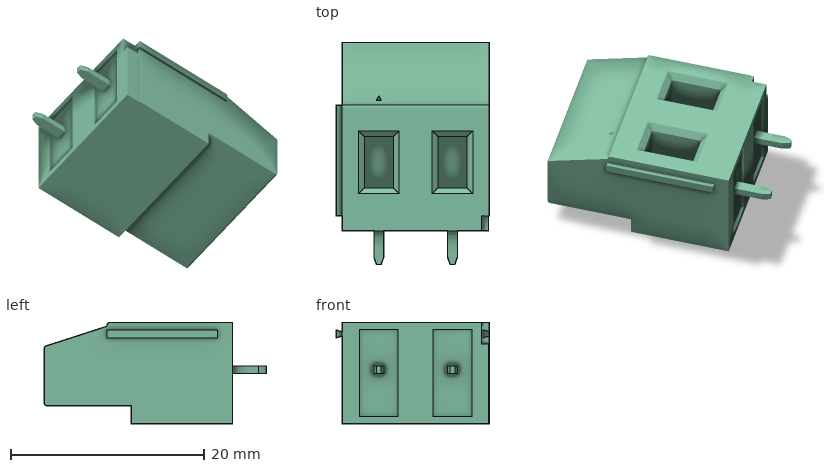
import cadquery as cq

pole_pitch = 7.62
pole_count = 2
body_width = pole_pitch * pole_count
body_length = 19.5
body_height = 10.5
pole_centers = [pole_pitch * (index + 0.5) for index in range(pole_count)]

flange_length = 1.55
flange_setback = 0.08
notch_width = 0.8
notch_height = 2.25

underside_step_y = 10.5
underside_step_z = 1.85
slope_start_y = 13.0
slope_start_z = 10.1
slope_end_z = 8.0
shoulder_radius = 0.3
back_radius = 0.3

dovetail_depth = 0.6
dovetail_wide = 0.85
dovetail_narrow = 0.45
dovetail_center_z = 9.3
groove_clearance = 0.04
dovetail_length = slope_start_y - flange_length

opening_width = 3.0
opening_length = 5.3
opening_center_y = 7.1
opening_depth = 5.0
opening_chamfer = 0.6

recess_width = 4.0
recess_height = 9.0
recess_bottom_z = 0.75
recess_depth = 0.3

pin_width = 1.05
pin_tip_width = 0.5
pin_height = 0.8
pin_center_z = 5.6
pin_reach = 3.5
pin_taper = 0.8

marker_width = 0.5
marker_length = 0.45
marker_base_y = 13.53
marker_depth = 0.1


def make_body():
    """Extrude the side profile across the full width and round its edges."""
    body = (
        cq.Workplane("YZ")
        .moveTo(0, 0)
        .lineTo(underside_step_y, 0)
        .lineTo(underside_step_y, underside_step_z)
        .lineTo(body_length, underside_step_z)
        .lineTo(body_length, slope_end_z)
        .lineTo(slope_start_y, slope_start_z)
        .lineTo(slope_start_y, body_height)
        .lineTo(0, body_height)
        .close()
        .extrude(body_width)
    )
    body = body.faces(">Y").edges("|X").fillet(back_radius)
    return body.faces(">Z").edges(">Y").fillet(shoulder_radius)


def make_flange_cut():
    """Material removed from the flange: a thin side setback and a top corner notch."""
    setback = cq.Workplane("XY").box(flange_setback, flange_length, body_height, centered=False)
    setback = setback.translate((body_width - flange_setback, 0, 0))
    notch = cq.Workplane("XY").box(notch_width, flange_length, notch_height, centered=False)
    notch = notch.translate((body_width - notch_width, 0, body_height - notch_height))
    return setback.union(notch)


def make_dovetail(mouth_x, clearance=0):
    """Dovetail bar widening toward -X from its narrow side at mouth_x."""
    tip_x = mouth_x - dovetail_depth - clearance
    return (
        cq.Workplane("XZ", origin=(0, flange_length, 0))
        .moveTo(mouth_x, dovetail_center_z - dovetail_narrow / 2)
        .lineTo(mouth_x, dovetail_center_z + dovetail_narrow / 2)
        .lineTo(tip_x, dovetail_center_z + dovetail_wide / 2)
        .lineTo(tip_x, dovetail_center_z - dovetail_wide / 2)
        .close()
        .extrude(-dovetail_length)
    )


def make_opening(center_x):
    """Rectangular well with a 45 degree lead-in at the top face."""
    top = cq.Workplane("XY", origin=(center_x, opening_center_y, body_height))
    well = top.rect(opening_width, opening_length).extrude(-opening_depth)
    lead_in = (
        top.rect(opening_width + 2 * opening_chamfer, opening_length + 2 * opening_chamfer)
        .workplane(offset=-opening_chamfer)
        .rect(opening_width, opening_length)
        .loft(ruled=True)
    )
    return well.union(lead_in)


def make_recess(center_x):
    """Shallow rectangular recess in the pin-side face."""
    recess = cq.Workplane("XY").box(recess_width, recess_depth, recess_height, centered=False)
    return recess.translate((center_x - recess_width / 2, 0, recess_bottom_z))


def make_pin(center_x):
    """Flat pin standing on the recess floor, tapered in width at its tip."""
    return (
        cq.Workplane("XY", origin=(center_x, 0, pin_center_z - pin_height / 2))
        .moveTo(-pin_width / 2, recess_depth)
        .lineTo(-pin_width / 2, pin_taper - pin_reach)
        .lineTo(-pin_tip_width / 2, -pin_reach)
        .lineTo(pin_tip_width / 2, -pin_reach)
        .lineTo(pin_width / 2, pin_taper - pin_reach)
        .lineTo(pin_width / 2, recess_depth)
        .close()
        .extrude(pin_height)
    )


def make_marker(center_x):
    """Small triangle, pointing to the back, cut from above to just below the slope."""
    slope = (slope_end_z - slope_start_z) / (body_length - slope_start_y)
    base_z = slope_start_z + slope * (marker_base_y - slope_start_y)
    tilt = (0, -slope, 1)
    return (
        cq.Workplane(cq.Plane(origin=(center_x, marker_base_y, base_z), xDir=(1, 0, 0), normal=tilt))
        .polyline([(-marker_width / 2, 0), (marker_width / 2, 0), (0, marker_length)])
        .close()
        .extrude(-marker_depth)
    )


result = make_body().cut(make_flange_cut())
result = result.union(make_dovetail(0)).cut(make_dovetail(body_width, groove_clearance))
for pole_x in pole_centers:
    result = result.cut(make_opening(pole_x)).cut(make_recess(pole_x)).union(make_pin(pole_x))
result = result.cut(make_marker(pole_centers[0]))